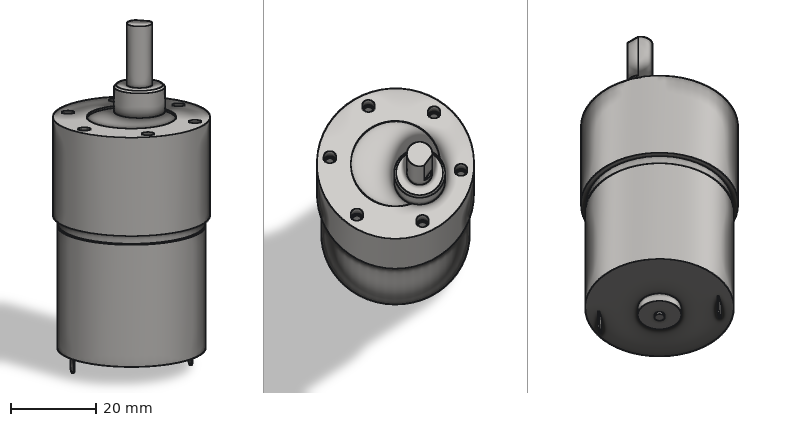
import cadquery as cq

GEARBOX_DIAMETER = 37.0
GEARBOX_LENGTH = 24.0
RECESS_DIAMETER = 21.0
RECESS_DEPTH = 0.5
SCREW_HOLE_COUNT = 6
SCREW_THREAD_DIAMETER = 3.0
SCREW_THREAD_DEPTH = 4.0
SCREW_PILOT_DIAMETER = 2.5
SCREW_PILOT_DEPTH = 5.0
SCREW_CIRCLE_DIAMETER = 31.0

SHAFT_OFFSET = 7.0
BOSS_DIAMETER = 12.0
BOSS_HEIGHT = 6.0
BOSS_CHAMFER = 0.5
SHAFT_DIAMETER = 6.0
SHAFT_LENGTH = 15.0
FLAT_DEPTH = 0.5
FLAT_LENGTH = 12.0

NECK_DIAMETER = 34.5
NECK_LENGTH = 2.2
MOTOR_DIAMETER = 35.0
MOTOR_LENGTH = 30.0
MOTOR_CHAMFER = (MOTOR_DIAMETER - NECK_DIAMETER) / 2

CAP_DIAMETER = 10.2
CAP_LENGTH = 2.3
STUB_DIAMETER = 2.4
STUB_LENGTH = 0.7

TAB_WIDTH = 3.0
TAB_THICKNESS = 0.4
TAB_LENGTH = 5.2
TAB_RADIAL_POSITION = 14.3
TAB_ANGLES = (30.0, 210.0)

GEARBOX_TOP = GEARBOX_LENGTH
BOSS_TOP = GEARBOX_TOP + BOSS_HEIGHT
SHAFT_TOP = BOSS_TOP + SHAFT_LENGTH
MOTOR_TOP = -NECK_LENGTH
MOTOR_BOTTOM = MOTOR_TOP - MOTOR_LENGTH
CAP_BOTTOM = MOTOR_BOTTOM - CAP_LENGTH


def cylinder(diameter, bottom, length, y=0.0):
    """Vertical cylinder standing on the given level."""
    return cq.Workplane("XY", origin=(0, y, bottom)).circle(diameter / 2).extrude(length)


def make_screw_holes(diameter, depth):
    """Ring of cylinders reaching down from the gearbox face, one per screw."""
    return (
        cq.Workplane("XY", origin=(0, 0, GEARBOX_TOP))
        .polarArray(SCREW_CIRCLE_DIAMETER / 2, 0, 360, SCREW_HOLE_COUNT)
        .circle(diameter / 2)
        .extrude(-depth)
    )


def make_gearbox():
    """Housing with a shallow face recess and a ring of blind, stepped screw holes."""
    housing = cylinder(GEARBOX_DIAMETER, 0, GEARBOX_LENGTH)
    recess = cylinder(RECESS_DIAMETER, GEARBOX_TOP - RECESS_DEPTH, RECESS_DEPTH)
    threads = make_screw_holes(SCREW_THREAD_DIAMETER, SCREW_THREAD_DEPTH)
    pilots = make_screw_holes(SCREW_PILOT_DIAMETER, SCREW_PILOT_DEPTH)
    return housing.cut(recess).cut(threads).cut(pilots)


def make_boss():
    """Chamfered bearing boss, rooted in the floor of the recess."""
    root = GEARBOX_TOP - RECESS_DEPTH
    boss = cylinder(BOSS_DIAMETER, root, BOSS_TOP - root, SHAFT_OFFSET)
    return boss.faces(">Z").chamfer(BOSS_CHAMFER)


def make_shaft():
    """Output shaft with a flat on its +Y side."""
    shaft = cylinder(SHAFT_DIAMETER, BOSS_TOP, SHAFT_LENGTH, SHAFT_OFFSET)
    flat_y = SHAFT_OFFSET + SHAFT_DIAMETER / 2 - FLAT_DEPTH
    flat = cq.Workplane("XY", origin=(0, flat_y, SHAFT_TOP - FLAT_LENGTH)).box(
        SHAFT_DIAMETER, SHAFT_DIAMETER, FLAT_LENGTH, centered=(True, False, False)
    )
    return shaft.cut(flat)


def make_motor():
    """Neck, motor can, rear cap and shaft stub."""
    neck = cylinder(NECK_DIAMETER, MOTOR_TOP, NECK_LENGTH)
    can = cylinder(MOTOR_DIAMETER, MOTOR_BOTTOM, MOTOR_LENGTH).faces(">Z").chamfer(MOTOR_CHAMFER)
    cap = cylinder(CAP_DIAMETER, CAP_BOTTOM, CAP_LENGTH)
    stub = cylinder(STUB_DIAMETER, CAP_BOTTOM - STUB_LENGTH, STUB_LENGTH)
    return neck.union(can).union(cap).union(stub)


def make_tab(angle):
    """Terminal tab with a fully rounded tip, at the given angle about Z."""
    half_width = TAB_WIDTH / 2
    tip_start = half_width - TAB_LENGTH
    tab = (
        cq.Workplane("YZ", origin=(TAB_RADIAL_POSITION, 0, MOTOR_BOTTOM))
        .moveTo(-half_width, 0)
        .lineTo(-half_width, tip_start)
        .threePointArc((0, -TAB_LENGTH), (half_width, tip_start))
        .lineTo(half_width, 0)
        .close()
        .extrude(TAB_THICKNESS / 2, both=True)
    )
    return tab.rotate((0, 0, 0), (0, 0, 1), angle)


result = make_gearbox().union(make_boss()).union(make_shaft()).union(make_motor())
for tab_angle in TAB_ANGLES:
    result = result.union(make_tab(tab_angle))